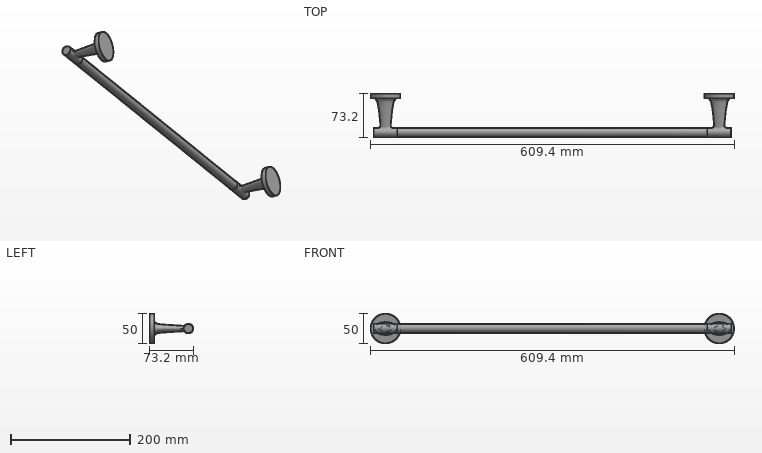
import cadquery as cq

overall_length = 609.4
overall_depth = 73.2

flange_diameter = 50.0
flange_thickness = 8.0
post_spacing = overall_length - flange_diameter

sleeve_diameter = 16.0
sleeve_wall = 0.2
rod_diameter = sleeve_diameter - 2 * sleeve_wall
sleeve_length = 40.0
bar_length = post_spacing + sleeve_length
bar_axis_distance = overall_depth - sleeve_diameter / 2

post_sections = [
    (flange_thickness, 35.0, 22.0),
    (12.0, 29.0, 17.0),
    (20.0, 25.0, 14.6),
    (38.0, 20.2, 12.0),
    (bar_axis_distance, 16.4, 8.4),
]
tip_fillet = 4.0


def make_rod(start_x, length, diameter):
    """Round rod on the bar axis, running toward +X from start_x."""
    return (
        cq.Workplane("YZ", origin=(start_x, -bar_axis_distance, 0))
        .circle(diameter / 2)
        .extrude(length)
    )


def make_bar():
    """Slim middle rod with a slightly thicker sleeve over each end."""
    left_end = -bar_length / 2
    right_joint = bar_length / 2 - sleeve_length
    bar = make_rod(left_end, bar_length, rod_diameter)
    for sleeve_start in (left_end, right_joint):
        bar = bar.union(make_rod(sleeve_start, sleeve_length, sleeve_diameter))
    return bar


def make_flange(center_x):
    """Round wall flange."""
    return (
        cq.Workplane("XZ", origin=(center_x, 0, 0))
        .circle(flange_diameter / 2)
        .extrude(flange_thickness)
    )


def make_post(center_x):
    """Oval post that flares out onto the flange face and ends on the bar axis."""
    post = cq.Workplane("XZ", origin=(center_x, 0, 0))
    reached = 0.0
    for distance, width, height in post_sections:
        post = post.workplane(offset=distance - reached).ellipse(width / 2, height / 2)
        reached = distance
    return post.loft()


def blend_tip(body, center_x):
    """Fillet the corner where a post runs into its sleeve."""
    tip_point = (center_x, sleeve_diameter / 2 - bar_axis_distance, 0)
    return body.edges(cq.selectors.NearestToPointSelector(tip_point)).fillet(tip_fillet)


result = make_bar()
for side in (-1, 1):
    post_x = side * post_spacing / 2
    bracket = make_flange(post_x).union(make_post(post_x))
    result = result.union(bracket)
    result = blend_tip(result, post_x)